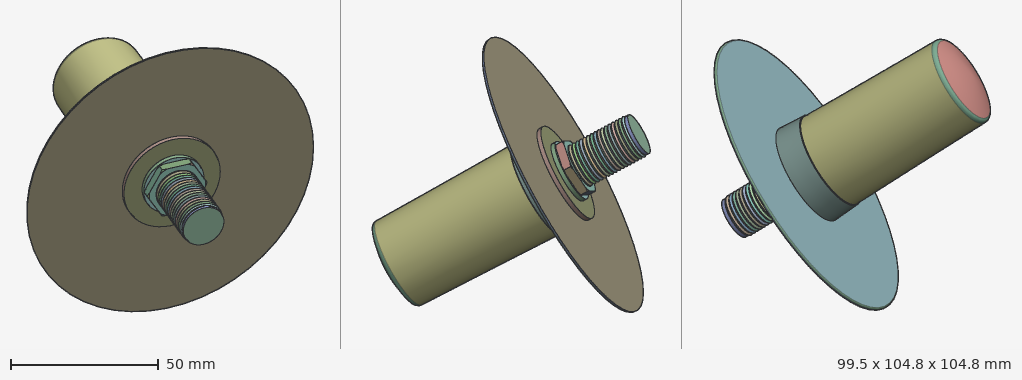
import cadquery as cq
import math


radome_length = 68.8
nose_height = 3.2
nose_mid_depth = 1.2
nose_edge_radius = 15.1
shoulder_length = 1.6
shoulder_radius = 16.2
radome_base_radius = 17.3
radome_side_bow = 0.05

collar_length = 9.7
collar_front_radius = 17.6
collar_rear_radius = 18.2
collar_side_bow = 0.04
collar_chamfer = 0.2

plate_radius = 52.4
plate_thickness = 0.9
plate_edge_radius = 0.5
gasket_radius = 17.6
gasket_thickness = 1.6
washer_radius = 11.0
washer_thickness = 1.6

nut_across_flats = 19.1
nut_thickness = 3.1
nut_chamfer_height = 0.3
nut_chamfer_depth = 0.7

stud_end = 30.7
crest_radius = 15.6 / 2
root_radius = 14.3 / 2
end_land_radius = 14.9 / 2
end_land_length = 1.4
thread_length = 21.7
thread_count = 15
thread_pitch = thread_length / (thread_count + 0.5)

nose_tip_x = -radome_length
nose_edge_x = nose_tip_x + nose_height
shoulder_x = nose_edge_x + shoulder_length
collar_x = -collar_length
gasket_x = plate_thickness
washer_x = gasket_x + gasket_thickness
nut_x = washer_x + washer_thickness
nut_end_x = nut_x + nut_thickness
land_x = stud_end - end_land_length
first_crest_x = land_x - thread_length


def start_profile(x):
    """Begin an (X, radius) outline on the axis."""
    return cq.Workplane("XZ").moveTo(x, 0)


def revolve_profile(profile):
    """Close an (X, radius) outline along the axis and turn it around the X axis."""
    return profile.close().revolve(360, (0, 0, 0), (1, 0, 0))


def make_disc(x, radius, thickness):
    return cq.Workplane("YZ", origin=(x, 0, 0)).circle(radius).extrude(thickness)


def make_ring(x, radius, thickness):
    """A flat disc with a hole for the stud."""
    return make_disc(x, radius, thickness).cut(make_disc(x, crest_radius, thickness))


def make_radome():
    """The nose is a slightly pointed dome, rounded over at its shoulder into the flared side."""
    shoulder_mid = (
        nose_edge_x + shoulder_length * (1 - math.sin(math.pi / 4)),
        nose_edge_radius + (shoulder_radius - nose_edge_radius) * math.sin(math.pi / 4),
    )
    side_mid = (
        (shoulder_x + collar_x) / 2,
        (shoulder_radius + radome_base_radius) / 2 - radome_side_bow,
    )
    return revolve_profile(
        start_profile(nose_tip_x)
        .threePointArc(
            (nose_tip_x + nose_mid_depth, nose_edge_radius / 2),
            (nose_edge_x, nose_edge_radius),
        )
        .threePointArc(shoulder_mid, (shoulder_x, shoulder_radius))
        .threePointArc(side_mid, (collar_x, radome_base_radius))
        .lineTo(collar_x, 0)
    )


def make_collar():
    side_mid = (
        collar_x / 2,
        (collar_front_radius + collar_rear_radius) / 2 - collar_side_bow,
    )
    return revolve_profile(
        start_profile(collar_x)
        .lineTo(collar_x, collar_front_radius - collar_chamfer)
        .lineTo(collar_x + collar_chamfer, collar_front_radius)
        .threePointArc(side_mid, (0, collar_rear_radius))
        .lineTo(0, 0)
    )


def make_ground_plate():
    """A thin disc with its rim rounded on the collar side."""
    disc = make_disc(0, plate_radius, plate_thickness).faces("<X").edges().fillet(plate_edge_radius)
    return disc.cut(make_disc(0, crest_radius, plate_thickness))


def make_nut():
    """A hexagon with flats facing +Z and -Z and its corners turned down at both ends."""
    corner_radius = nut_across_flats / 2 / math.cos(math.pi / 6)
    hexagon = cq.Workplane("YZ", origin=(nut_x, 0, 0)).polygon(6, 2 * corner_radius).extrude(nut_thickness)
    turned_blank = revolve_profile(
        start_profile(nut_x)
        .lineTo(nut_x, corner_radius - nut_chamfer_depth)
        .lineTo(nut_x + nut_chamfer_height, corner_radius)
        .lineTo(nut_end_x - nut_chamfer_height, corner_radius)
        .lineTo(nut_end_x, corner_radius - nut_chamfer_depth)
        .lineTo(nut_end_x, 0)
    )
    return hexagon.intersect(turned_blank).cut(make_disc(nut_x, crest_radius, nut_thickness))


def make_stud():
    """A plain shank through the stack, then ring-shaped V threads and a plain end land."""
    profile = start_profile(0).lineTo(0, crest_radius).lineTo(first_crest_x, crest_radius)
    for index in range(1, thread_count + 1):
        crest_x = first_crest_x + index * thread_pitch
        profile = profile.lineTo(crest_x - thread_pitch / 2, root_radius).lineTo(crest_x, crest_radius)
    return revolve_profile(
        profile.lineTo(land_x, root_radius)
        .lineTo(land_x, end_land_radius)
        .lineTo(stud_end, end_land_radius)
        .lineTo(stud_end, 0)
    )


radome = make_radome()
collar = make_collar()
ground_plate = make_ground_plate()
gasket = make_ring(gasket_x, gasket_radius, gasket_thickness)
washer = make_ring(washer_x, washer_radius, washer_thickness)
nut = make_nut()
stud = make_stud()

result = cq.Compound.makeCompound(
    [body.val() for body in (radome, collar, ground_plate, gasket, washer, nut, stud)]
)